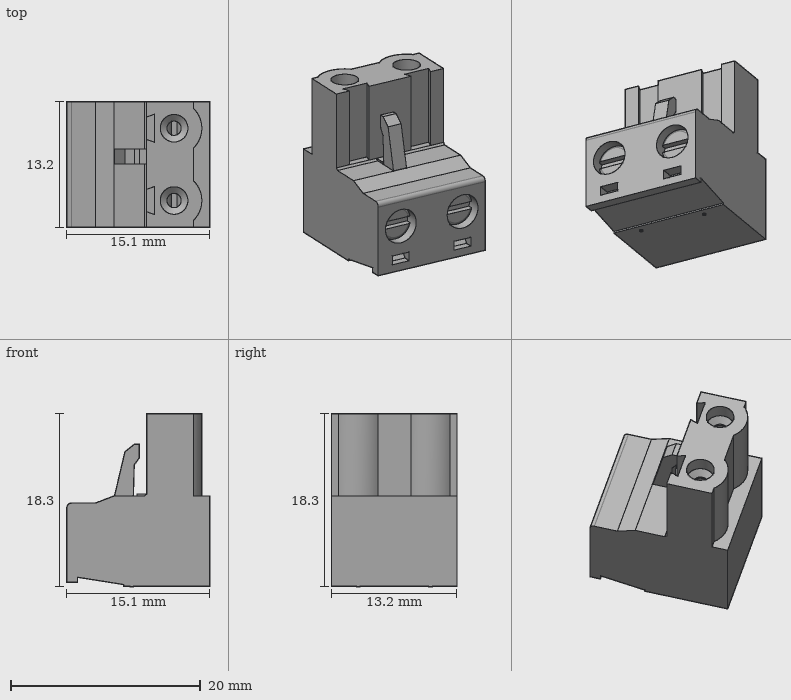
import cadquery as cq
import math


LENGTH = 15.1
WIDTH = 13.25
HEIGHT = 18.27
POLE_PITCH = 7.62
POLES = [-POLE_PITCH / 2, POLE_PITCH / 2]

BASE_Z = 0.07
DECK_Z = 9.61
LOW_DECK_Z = 8.86
LOW_DECK_END_X = 3.01
DECK_START_X = 4.97
FRONT_ROUND = 0.5
LIP_X = 1.15
LIP_Z = 0.51
UNDERCUT_Z = 1.02
STEP_X = 6.0
STEP_Z = 0.25

TOWER_FRONT_X = 8.42
TOWER_BACK_X = 13.37
TOWER_FOOT_LEG = 0.22
TOWER_FOOT_Z = DECK_Z + TOWER_FOOT_LEG
SOCKET_X = 11.3
BULGE_RADIUS = 2.92
GROOVE_DEPTH = 0.84
GROOVE_MOUTH = 2.38
GROOVE_FLOOR = 2.96

SOCKET_DIAMETER = 2.9
SOCKET_DEPTH = 1.5
THROAT_DIAMETER = 1.5
THROAT_LENGTH = 0.18
CONE_HEIGHT = 0.55
CONTACT_TOP_Z = HEIGHT - SOCKET_DEPTH - CONE_HEIGHT - THROAT_LENGTH
CONTACT_BOTTOM_Z = 10.23
CONTACT_GAP = 0.57
CONTACT_GAP_DEPTH = 3.65
JAW_ROUND = 1.46
CONTACT_LENGTH = CONTACT_GAP + 2 * JAW_ROUND
CONTACT_WIDTH = 1.83

SCREW_Z = 5.57
SCREW_DIAMETER = 3.8
SCREW_RECESS = 1.0
HEAD_LENGTH = 1.65
HEAD_ROUND = 0.27
DRIVER_SLOT = 0.84
DRIVER_SLOT_DEPTH = 0.73
SHANK_DIAMETER = 2.2
SHANK_LENGTH = 5.12

TEST_WIDTH = 2.06
TEST_BOTTOM_Z = 1.39
TEST_TOP_Z = 2.4
TONGUE_CLEARANCE = 0.16

CLAMP_FRONT_X = 3.47
CLAMP_BACK_X = 7.67
CLAMP_WIDTH = 4.02
CLAMP_TOP_Z = 7.4
TONGUE_TIP_X = 0.55
TONGUE_BOTTOM_Z = TEST_BOTTOM_Z + TONGUE_CLEARANCE
TONGUE_WIDTH = TEST_WIDTH - 2 * TONGUE_CLEARANCE
PEG_X = 6.87
PEG_DIAMETER = 0.38

LATCH_Y = 0.84
LATCH_WIDTH = 1.6
LATCH_ROOT_Z = 9.14
LATCH_FRONT_X = 5.02
LATCH_NECK_X = 7.03
LATCH_HEEL_X = 7.38


def block(x0, x1, y_center, width, z0, z1):
    """Box between two X and two Z planes, centred on y_center."""
    return cq.Workplane("XY").box(x1 - x0, width, z1 - z0).translate(
        ((x0 + x1) / 2, y_center, (z0 + z1) / 2)
    )


def side_plane(y_center, width):
    """XZ workplane from which a profile extruded by width is centred on y_center."""
    return cq.Workplane("XZ", origin=(0, y_center + width / 2, 0))


def rod_x(x0, length, diameter, y):
    """Cylinder along X on the screw axis of one pole."""
    return cq.Workplane("YZ", origin=(x0, y, SCREW_Z)).circle(diameter / 2).extrude(length)


def make_screw(y):
    head = rod_x(SCREW_RECESS, HEAD_LENGTH, SCREW_DIAMETER, y).faces("<X").fillet(HEAD_ROUND)
    slot = block(
        SCREW_RECESS, SCREW_RECESS + DRIVER_SLOT_DEPTH,
        y, SCREW_DIAMETER,
        SCREW_Z - DRIVER_SLOT / 2, SCREW_Z + DRIVER_SLOT / 2,
    )
    shank = rod_x(SCREW_RECESS + HEAD_LENGTH, SHANK_LENGTH, SHANK_DIAMETER, y)
    return head.cut(slot).union(shank)


def screw_hole(y):
    """Hole from the screw face that clears the head and then the shank."""
    head_hole = rod_x(0, SCREW_RECESS + HEAD_LENGTH, SCREW_DIAMETER, y)
    shank_hole = rod_x(SCREW_RECESS + HEAD_LENGTH, SHANK_LENGTH, SHANK_DIAMETER, y)
    return head_hole.union(shank_hole)


def clamp_tongue(y):
    ramp_rise = TEST_TOP_Z - TONGUE_BOTTOM_Z
    return (
        side_plane(y, TONGUE_WIDTH)
        .moveTo(TONGUE_TIP_X, TONGUE_BOTTOM_Z)
        .lineTo(CLAMP_FRONT_X, TONGUE_BOTTOM_Z)
        .lineTo(CLAMP_FRONT_X, TEST_TOP_Z)
        .lineTo(TONGUE_TIP_X + ramp_rise, TEST_TOP_Z)
        .close()
        .extrude(TONGUE_WIDTH)
    )


def make_clamp(y):
    body = block(CLAMP_FRONT_X, CLAMP_BACK_X, y, CLAMP_WIDTH, TONGUE_BOTTOM_Z, CLAMP_TOP_Z)
    peg = (
        cq.Workplane("XY", origin=(PEG_X, y, 0))
        .circle(PEG_DIAMETER / 2)
        .extrude(TONGUE_BOTTOM_Z)
    )
    return body.union(clamp_tongue(y)).union(peg).cut(screw_hole(y))


def test_opening(y):
    return block(0, CLAMP_FRONT_X, y, TEST_WIDTH, TEST_BOTTOM_Z, TEST_TOP_Z)


def contact_envelope(y):
    return block(
        SOCKET_X - CONTACT_LENGTH / 2, SOCKET_X + CONTACT_LENGTH / 2,
        y, CONTACT_WIDTH,
        CONTACT_BOTTOM_Z, CONTACT_TOP_Z,
    )


def make_contact(y):
    half_gap = CONTACT_GAP / 2
    half_length = CONTACT_LENGTH / 2
    diagonal = JAW_ROUND * (1 - math.sqrt(0.5))
    gap_bottom_z = CONTACT_TOP_Z - CONTACT_GAP_DEPTH
    gap = (
        side_plane(y, CONTACT_WIDTH)
        .moveTo(SOCKET_X - half_length, CONTACT_TOP_Z)
        .threePointArc(
            (SOCKET_X - half_gap - diagonal, CONTACT_TOP_Z - diagonal),
            (SOCKET_X - half_gap, CONTACT_TOP_Z - JAW_ROUND),
        )
        .lineTo(SOCKET_X - half_gap, gap_bottom_z)
        .lineTo(SOCKET_X + half_gap, gap_bottom_z)
        .lineTo(SOCKET_X + half_gap, CONTACT_TOP_Z - JAW_ROUND)
        .threePointArc(
            (SOCKET_X + half_gap + diagonal, CONTACT_TOP_Z - diagonal),
            (SOCKET_X + half_length, CONTACT_TOP_Z),
        )
        .close()
        .extrude(CONTACT_WIDTH)
    )
    return contact_envelope(y).cut(gap)


def socket(y):
    """Round socket that narrows through a cone to the throat above the contact."""
    mouth_radius = SOCKET_DIAMETER / 2
    throat_radius = THROAT_DIAMETER / 2
    cone_top_z = HEIGHT - SOCKET_DEPTH
    return (
        cq.Workplane("XZ", origin=(SOCKET_X, y, 0))
        .moveTo(0, HEIGHT)
        .lineTo(mouth_radius, HEIGHT)
        .lineTo(mouth_radius, cone_top_z)
        .lineTo(throat_radius, cone_top_z - CONE_HEIGHT)
        .lineTo(throat_radius, CONTACT_TOP_Z)
        .lineTo(0, CONTACT_TOP_Z)
        .close()
        .revolve(360, (0, 0, 0), (0, 1, 0))
    )


def latch_base():
    root = block(LATCH_FRONT_X, TOWER_FRONT_X, LATCH_Y, LATCH_WIDTH, LATCH_ROOT_Z, DECK_Z)
    heel = block(LATCH_HEEL_X, TOWER_FRONT_X, LATCH_Y, LATCH_WIDTH, DECK_Z, TOWER_FOOT_Z)
    return root.union(heel)


def make_latch():
    arm_outline = [
        (LATCH_FRONT_X, DECK_Z),
        (6.12, 14.25),
        (7.13, 15.05),
        (7.65, 15.05),
        (7.65, 13.61),
        (7.13, 12.88),
        (LATCH_NECK_X, DECK_Z),
    ]
    arm = side_plane(LATCH_Y, LATCH_WIDTH).polyline(arm_outline).close().extrude(LATCH_WIDTH)
    return latch_base().union(arm)


def housing_base():
    profile = [
        (0, LIP_Z),
        (0, LOW_DECK_Z),
        (LOW_DECK_END_X, LOW_DECK_Z),
        (DECK_START_X, DECK_Z),
        (TOWER_FRONT_X - TOWER_FOOT_LEG, DECK_Z),
        (TOWER_FRONT_X, TOWER_FOOT_Z),
        (TOWER_FRONT_X, HEIGHT),
        (TOWER_BACK_X, HEIGHT),
        (TOWER_BACK_X, DECK_Z),
        (LENGTH, DECK_Z),
        (LENGTH, BASE_Z),
        (STEP_X, BASE_Z),
        (STEP_X, STEP_Z),
        (LIP_X, UNDERCUT_Z),
        (LIP_X, LIP_Z),
    ]
    base = side_plane(0, WIDTH).polyline(profile).close().extrude(WIDTH)
    top_front_edge = cq.selectors.NearestToPointSelector((0, 0, LOW_DECK_Z))
    return base.edges(top_front_edge).fillet(FRONT_ROUND)


def tower_bulge(y):
    """Back half of a round column, cut off at the sides of the housing."""
    return (
        cq.Workplane("XY", origin=(SOCKET_X, y, DECK_Z))
        .circle(BULGE_RADIUS)
        .extrude(HEIGHT - DECK_Z)
        .intersect(block(SOCKET_X, LENGTH, 0, WIDTH, DECK_Z, HEIGHT))
    )


def dovetail_groove(y):
    floor_x = TOWER_FRONT_X + GROOVE_DEPTH
    return (
        cq.Workplane("XY", origin=(0, y, TOWER_FOOT_Z))
        .polyline([
            (TOWER_FRONT_X, -GROOVE_MOUTH / 2),
            (floor_x, -GROOVE_FLOOR / 2),
            (floor_x, GROOVE_FLOOR / 2),
            (TOWER_FRONT_X, GROOVE_MOUTH / 2),
        ])
        .close()
        .extrude(HEIGHT - TOWER_FOOT_Z)
    )


def make_housing(clamps):
    housing = housing_base()
    for y in POLES:
        housing = housing.union(tower_bulge(y))
    for y, clamp in zip(POLES, clamps):
        housing = (
            housing.cut(dovetail_groove(y))
            .cut(socket(y))
            .cut(contact_envelope(y))
            .cut(screw_hole(y))
            .cut(test_opening(y))
            .cut(clamp)
        )
    return housing.cut(latch_base())


screws = [make_screw(y) for y in POLES]
contacts = [make_contact(y) for y in POLES]
clamps = [make_clamp(y) for y in POLES]
latch = make_latch()
housing = make_housing(clamps)

result = cq.Compound.makeCompound([
    housing.val(),
    latch.val(),
    *[screw.val() for screw in screws],
    *[contact.val() for contact in contacts],
    *[clamp.val() for clamp in clamps],
])